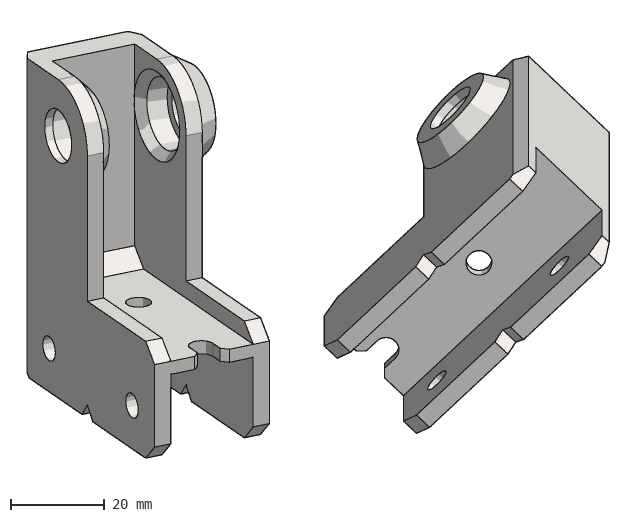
import cadquery as cq

length = 59.85
height = 73.5
width = 28.0
cheek = 4.0
gap = width - 2 * cheek
mid_y = width / 2

column_depth = length / 2
base_height = 27.0
corner_chamfer = 4.0
top_radius = 13.0
notch_half_width = 2.35
notch_height = 3.0

wall = 7.05
back_edge_x = 3.0
back_edge_y = 1.8
shelf_bottom = 20.0
shelf_thickness = 3.0
shelf_top = shelf_bottom + shelf_thickness
gusset = 4.0

pivot_x = column_depth - top_radius
pivot_z = height - top_radius
pivot_diameter = 12.0
boss_tip_radius = 10.0
outer_boss_height = 5.0
inner_boss_height = 3.0
outer_face = width + outer_boss_height
socket_diameter = 16.25
socket_floor = 2.0
socket_mouth_radius = 10.15
socket_mouth_depth = socket_mouth_radius - socket_diameter / 2

small_diameter = 5.5
pin_x = (12.9, 49.8)
pin_z = 10.0
shelf_hole_x = 27.1
slot_center_x = 55.15
slot_flare = 1.5


def pivot_cone(start_y, start_radius, end_y, end_radius):
    """Solid of revolution about the pivot axis, tapering between two Y positions."""
    half_section = (
        cq.Workplane("XY")
        .moveTo(0, start_y)
        .lineTo(start_radius, start_y)
        .lineTo(end_radius, end_y)
        .lineTo(0, end_y)
        .close()
    )
    cone = half_section.revolve(360, (0, 0, 0), (0, 1, 0))
    return cone.translate((pivot_x, 0, pivot_z))


def y_cylinder(x, z, diameter, start_y, end_y):
    """Cylinder along Y between two Y positions."""
    section = cq.Workplane("XZ", origin=(x, start_y, z)).circle(diameter / 2)
    return section.extrude(start_y - end_y)


def z_prism(points, bottom, top):
    """Upright prism over a closed outline."""
    return cq.Workplane("XY").workplane(offset=bottom).polyline(points).close().extrude(top - bottom)


body = (
    cq.Workplane("XZ")
    .moveTo(0, corner_chamfer)
    .lineTo(corner_chamfer, 0)
    .lineTo(column_depth - notch_half_width, 0)
    .lineTo(column_depth, notch_height)
    .lineTo(column_depth + notch_half_width, 0)
    .lineTo(length - corner_chamfer, 0)
    .lineTo(length, corner_chamfer)
    .lineTo(length, base_height - corner_chamfer)
    .lineTo(length - corner_chamfer, base_height)
    .lineTo(column_depth, base_height)
    .lineTo(column_depth, pivot_z)
    .radiusArc((pivot_x, height), -top_radius)
    .lineTo(0, height)
    .close()
    .extrude(-width)
)

upper_channel = (
    cq.Workplane("XZ", origin=(0, cheek, 0))
    .moveTo(wall, height)
    .lineTo(wall, shelf_top + gusset)
    .lineTo(wall + gusset, shelf_top)
    .lineTo(length, shelf_top)
    .lineTo(length, height)
    .close()
    .extrude(-gap)
)
lower_channel = cq.Workplane("XY").box(length, gap, shelf_bottom, centered=False).translate((0, cheek, 0))
body = body.cut(upper_channel).cut(lower_channel)

for edge_y, inner_y in ((0, back_edge_y), (width, width - back_edge_y)):
    bevel = z_prism([(0, edge_y), (back_edge_x, edge_y), (0, inner_y)], 0, height)
    body = body.cut(bevel)

outer_boss = pivot_cone(width, top_radius, outer_face, boss_tip_radius)
inner_boss = pivot_cone(cheek, top_radius, cheek + inner_boss_height, boss_tip_radius)
body = body.union(outer_boss).union(inner_boss)

socket_start = width - cheek
socket_mouth = pivot_cone(
    socket_start, socket_mouth_radius, socket_start + socket_mouth_depth, socket_diameter / 2
)
socket = y_cylinder(pivot_x, pivot_z, socket_diameter, socket_start, outer_face - socket_floor)
near_socket = y_cylinder(
    pivot_x, pivot_z, socket_diameter, socket_floor, cheek + inner_boss_height
)
pivot_bore = y_cylinder(pivot_x, pivot_z, pivot_diameter, 0, outer_face)
body = body.cut(socket_mouth).cut(socket).cut(near_socket).cut(pivot_bore)

for x in pin_x:
    body = body.cut(y_cylinder(x, pin_z, small_diameter, 0, cheek))

slot_half = small_diameter / 2
flare_half = slot_half + slot_flare
shelf_holes = (
    cq.Workplane("XY")
    .workplane(offset=shelf_bottom)
    .pushPoints([(shelf_hole_x, mid_y), (slot_center_x, mid_y)])
    .circle(slot_half)
    .extrude(shelf_thickness)
)
slot_entry = z_prism(
    [
        (slot_center_x, mid_y - slot_half),
        (length - slot_flare, mid_y - slot_half),
        (length, mid_y - flare_half),
        (length, mid_y + flare_half),
        (length - slot_flare, mid_y + slot_half),
        (slot_center_x, mid_y + slot_half),
    ],
    shelf_bottom,
    shelf_top,
)
result = body.cut(shelf_holes).cut(slot_entry)